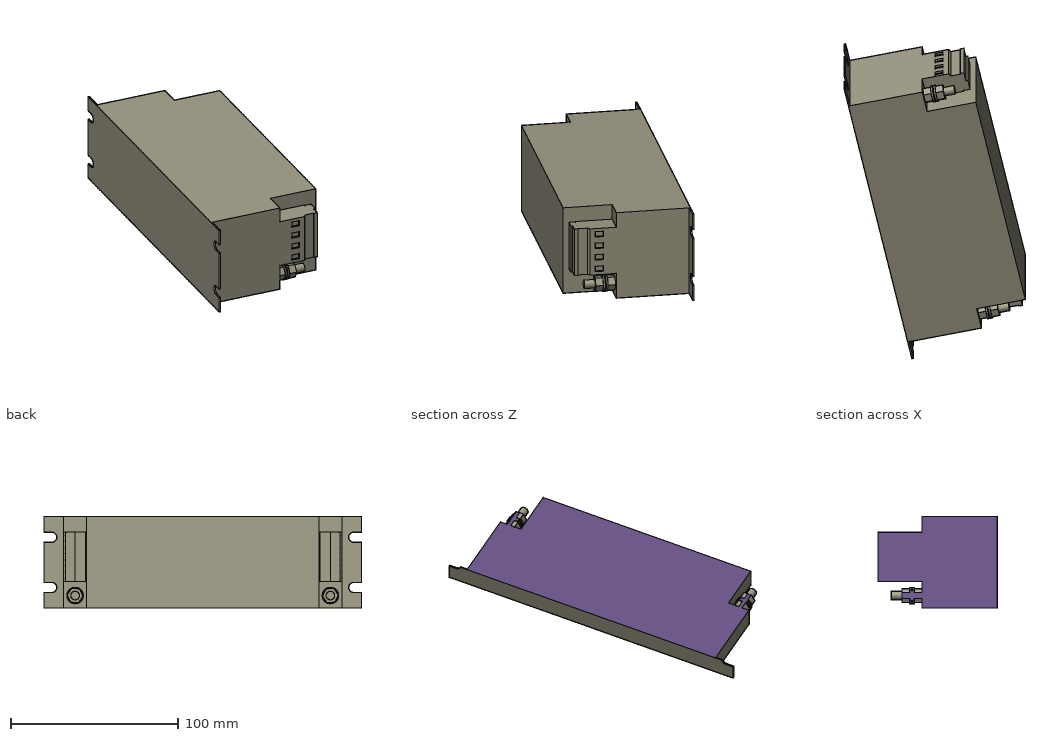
import cadquery as cq

plate_length = 190.0
depth = 75.0
height = 55.0
plate_thickness = 1.0

housing_length = 166.5
recess_length = 13.7
recess_depth = 29.8
end_x = -housing_length / 2
wall_x = end_x + recess_length
ledge_y = depth - recess_depth

slot_width = 5.9
slot_length = 7.6
slot_spacing = 30.0

terminal_bottom_z = 16.0
terminal_height = 29.6
terminal_top_depth = 3.5
shoulder_depth = 4.5
shoulder_x = end_x + 6.8
lip_x = end_x + 1.1
lip_depth = 6.8
groove_x = end_x + 1.7
groove_depth = 12.5
slope_depth = 13.7
wall_gap = 0.5
wall_gap_depth = 7.5

pocket_count = 4
pocket_width = 5.0
pocket_height = 3.5
pocket_cut = 1.3
pocket_centre_depth = 19.5

stud_x = end_x + 6.8
stud_z = 7.6
stud_diameter = 5.1
stud_tip_depth = 11.4
nut_corner_diameter = 9.5
nut_turn = 4.0
nut_height = 4.5
washer_diameter = 9.9
washer_thickness = 1.1
lock_washer_diameter = 9.5
lock_washer_thickness = 0.5


def mounting_plate():
    plate = cq.Workplane("XY").box(plate_length, plate_thickness, height, centered=(True, False, False))
    for side in (-1, 1):
        for level in (-1, 1):
            slot_z = height / 2 + level * slot_spacing / 2
            slot = (
                cq.Workplane("XZ", origin=(side * plate_length / 2, 0, slot_z))
                .slot2D(2 * slot_length, slot_width)
                .extrude(-plate_thickness)
            )
            plate = plate.cut(slot)
    return plate


def housing():
    base = cq.Workplane("XY").box(housing_length, ledge_y, height, centered=(True, False, False))
    tower = cq.Workplane("XY").box(-2 * wall_x, depth, height, centered=(True, False, False))
    return base.union(tower)


def terminal_block():
    outline = [
        (end_x, ledge_y),
        (end_x, depth - slope_depth),
        (groove_x, depth - groove_depth),
        (groove_x, depth - lip_depth),
        (lip_x, depth - lip_depth),
        (lip_x, depth - shoulder_depth),
        (shoulder_x, depth - shoulder_depth),
        (shoulder_x, depth - terminal_top_depth),
        (wall_x - wall_gap, depth - terminal_top_depth),
        (wall_x - wall_gap, depth - wall_gap_depth),
        (wall_x, depth - wall_gap_depth),
        (wall_x, ledge_y),
    ]
    block = (
        cq.Workplane("XY", origin=(0, 0, terminal_bottom_z))
        .polyline(outline)
        .close()
        .extrude(terminal_height)
    )
    pitch = terminal_height / pocket_count
    for index in range(pocket_count):
        pocket_z = terminal_bottom_z + (index + 0.5) * pitch
        pocket = (
            cq.Workplane("XY", origin=(end_x, depth - pocket_centre_depth, pocket_z))
            .box(2 * pocket_cut, pocket_width, pocket_height)
        )
        block = block.cut(pocket)
    return block


def stud_plane(y):
    """Plane across the stud axis; extruding from it goes towards the back."""
    return cq.Workplane("XZ", origin=(stud_x, y, stud_z))


def earth_stud():
    def nut(y):
        blank = stud_plane(y).polygon(6, nut_corner_diameter).extrude(-nut_height)
        return blank.rotate((stud_x, 0, stud_z), (stud_x, 1, stud_z), nut_turn)

    def disc(y, diameter, length):
        return stud_plane(y).circle(diameter / 2).extrude(-length)

    stud = disc(ledge_y, stud_diameter, recess_depth - stud_tip_depth)
    stud = stud.union(nut(ledge_y))
    washers = [
        (washer_diameter, washer_thickness),
        (lock_washer_diameter, lock_washer_thickness),
        (washer_diameter, washer_thickness),
    ]
    washer_y = ledge_y + nut_height
    for diameter, thickness in washers:
        stud = stud.union(disc(washer_y, diameter, thickness))
        washer_y += thickness
    return stud.union(nut(washer_y))


end_fittings = terminal_block().union(earth_stud())
result = (
    mounting_plate()
    .union(housing())
    .union(end_fittings)
    .union(end_fittings.mirror("YZ"))
)